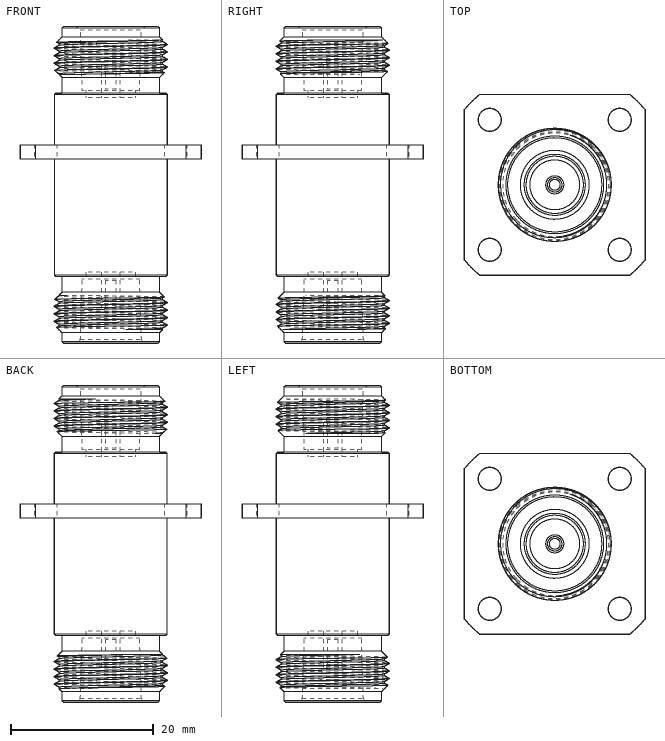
import cadquery as cq
import math

OVERALL_LENGTH = 44.5
HALF_LENGTH = OVERALL_LENGTH / 2

FLANGE_SIDE = 25.4
FLANGE_THICKNESS = 2.0
FLANGE_TOP_Z = 5.6
FLANGE_CORNER_DIAMETER = 33.0
MOUNT_HOLE_DIAMETER = 3.2
MOUNT_HOLE_PITCH = 18.24

BODY_DIAMETER = 15.88
NECK_DIAMETER = 13.72
BODY_END_DEPTH = 9.38
BODY_EDGE_CHAMFER = 0.2
RIM_CHAMFER = 0.25
THREAD_START_DEPTH = 1.5
THREAD_END_DEPTH = 7.18

THREAD_PITCH = 25.4 / 24
THREAD_DEPTH = 0.65
THREAD_FLANK_ANGLE = 30.0
CREST_WIDTH = 0.06
ROOT_RADIUS = BODY_DIAMETER / 2 - THREAD_DEPTH
THREAD_OVERLAP = 0.05
FIRST_CREST_DEPTH = 2.55

MOUTH_DIAMETER = 9.68
MOUTH_CHAMFER_DEPTH = 0.55
BORE_TOP_DIAMETER = 8.58
BORE_FLOOR_DIAMETER = 8.04
BORE_DEPTH = 9.0
RECESS_DIAMETER = 6.99
RECESS_DEPTH = 10.0

CONTACT_DIAMETER = 2.54
CONTACT_TIP_DEPTH = 4.8
CONTACT_HOLE_DIAMETER = 1.52
CONTACT_HOLE_LENGTH = 4.0
CONTACT_MOUTH_DIAMETER = 2.02


def revolve_about_z(points):
    """Solid of revolution from a closed (radius, z) outline."""
    return cq.Workplane("XZ").polyline(points).close().revolve(360, (0, 0), (0, 1))


def make_flange():
    plane = cq.Workplane("XY", origin=(0, 0, FLANGE_TOP_Z - FLANGE_THICKNESS))
    square = plane.rect(FLANGE_SIDE, FLANGE_SIDE).extrude(FLANGE_THICKNESS)
    corner_turning = plane.circle(FLANGE_CORNER_DIAMETER / 2).extrude(FLANGE_THICKNESS)
    return (
        square.intersect(corner_turning)
        .faces(">Z")
        .workplane(origin=(0, 0, FLANGE_TOP_Z))
        .rect(MOUNT_HOLE_PITCH, MOUNT_HOLE_PITCH, forConstruction=True)
        .vertices()
        .hole(MOUNT_HOLE_DIAMETER)
    )


def make_turned_body():
    """Plain turned outside over the full length, without the threaded collars."""
    body_radius = BODY_DIAMETER / 2
    neck_radius = NECK_DIAMETER / 2
    body_end_z = HALF_LENGTH - BODY_END_DEPTH
    return revolve_about_z([
        (0, -HALF_LENGTH),
        (neck_radius - RIM_CHAMFER, -HALF_LENGTH),
        (neck_radius, -HALF_LENGTH + RIM_CHAMFER),
        (neck_radius, -body_end_z),
        (body_radius - BODY_EDGE_CHAMFER, -body_end_z),
        (body_radius, -body_end_z + BODY_EDGE_CHAMFER),
        (body_radius, body_end_z - BODY_EDGE_CHAMFER),
        (body_radius - BODY_EDGE_CHAMFER, body_end_z),
        (neck_radius, body_end_z),
        (neck_radius, HALF_LENGTH - RIM_CHAMFER),
        (neck_radius - RIM_CHAMFER, HALF_LENGTH),
        (0, HALF_LENGTH),
    ])


def make_threaded_rod():
    """Thread with a spare turn beyond each end of the upper collar."""
    flank_slope = math.tan(math.radians(THREAD_FLANK_ANGLE))
    crest_radius = BODY_DIAMETER / 2
    inner_radius = ROOT_RADIUS - THREAD_OVERLAP
    crest_half_width = CREST_WIDTH / 2
    base_half_width = crest_half_width + (crest_radius - inner_radius) * flank_slope

    turns = math.ceil((THREAD_END_DEPTH - THREAD_START_DEPTH) / THREAD_PITCH) + 1
    height = turns * THREAD_PITCH
    start_z = HALF_LENGTH - FIRST_CREST_DEPTH - (turns - 2) * THREAD_PITCH
    helix = cq.Wire.makeHelix(THREAD_PITCH, height, ROOT_RADIUS, cq.Vector(0, 0, start_z))
    ridge_outline = cq.Workplane("XZ").polyline([
        (inner_radius, start_z - base_half_width),
        (crest_radius, start_z - crest_half_width),
        (crest_radius, start_z + crest_half_width),
        (inner_radius, start_z + base_half_width),
    ]).close()
    ridge = ridge_outline.sweep(cq.Workplane(helix), isFrenet=True)

    core = cq.Workplane("XY", origin=(0, 0, start_z - THREAD_PITCH)).circle(ROOT_RADIUS)
    core = core.extrude(height + 2 * THREAD_PITCH).rotate((0, 0, 0), (0, 0, 1), 180)
    return core.union(ridge, clean=False)


def make_threaded_collar():
    """Upper collar: the threaded rod trimmed by a 45 degree cone at each end."""
    neck_radius = NECK_DIAMETER / 2
    limit_radius = BODY_DIAMETER / 2 + THREAD_OVERLAP
    cone_height = limit_radius - neck_radius
    thread_bottom_z = HALF_LENGTH - THREAD_END_DEPTH
    thread_top_z = HALF_LENGTH - THREAD_START_DEPTH
    cones = revolve_about_z([
        (0, thread_bottom_z),
        (neck_radius, thread_bottom_z),
        (limit_radius, thread_bottom_z + cone_height),
        (limit_radius, thread_top_z - cone_height),
        (neck_radius, thread_top_z),
        (0, thread_top_z),
    ])
    return make_threaded_rod().intersect(cones, clean=False)


def make_socket():
    """Cavity of the upper jack, with the centre contact left standing in it."""
    cavity = revolve_about_z([
        (0, HALF_LENGTH),
        (MOUTH_DIAMETER / 2, HALF_LENGTH),
        (BORE_TOP_DIAMETER / 2, HALF_LENGTH - MOUTH_CHAMFER_DEPTH),
        (BORE_FLOOR_DIAMETER / 2, HALF_LENGTH - BORE_DEPTH),
        (RECESS_DIAMETER / 2, HALF_LENGTH - BORE_DEPTH),
        (RECESS_DIAMETER / 2, HALF_LENGTH - RECESS_DEPTH),
        (0, HALF_LENGTH - RECESS_DEPTH),
    ])
    tip_z = HALF_LENGTH - CONTACT_TIP_DEPTH
    hole_radius = CONTACT_HOLE_DIAMETER / 2
    mouth_radius = CONTACT_MOUTH_DIAMETER / 2
    contact = revolve_about_z([
        (0, HALF_LENGTH - RECESS_DEPTH),
        (CONTACT_DIAMETER / 2, HALF_LENGTH - RECESS_DEPTH),
        (CONTACT_DIAMETER / 2, tip_z),
        (mouth_radius, tip_z),
        (hole_radius, tip_z - (mouth_radius - hole_radius)),
        (hole_radius, tip_z - CONTACT_HOLE_LENGTH),
        (0, tip_z - CONTACT_HOLE_LENGTH),
    ])
    return cavity.cut(contact)


def turn_over(upper):
    """Lower counterpart of an upper feature, turned half a turn about X."""
    return upper.rotate((0, 0, 0), (1, 0, 0), 180)


collar = make_threaded_collar()
socket = make_socket()
result = make_turned_body().union(make_flange())
for end_collar in (collar, turn_over(collar)):
    result = result.union(end_collar, clean=False)
for end_socket in (socket, turn_over(socket)):
    result = result.cut(end_socket, clean=False)